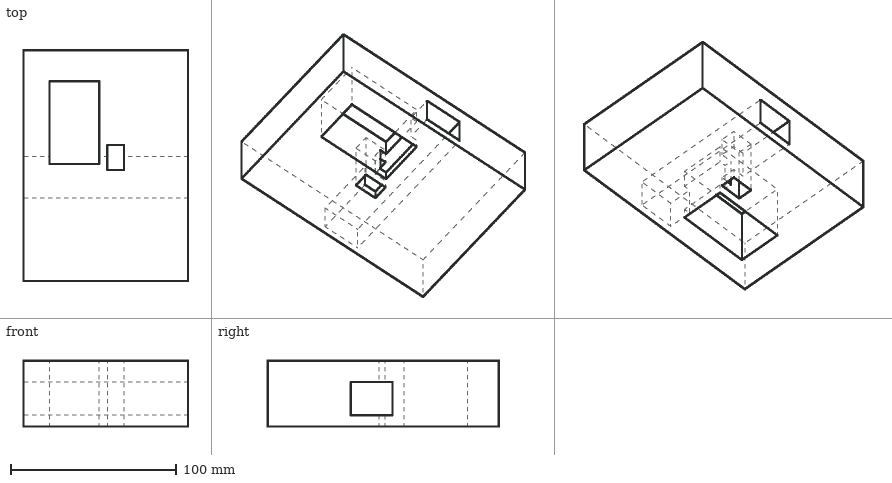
import cadquery as cq

width = 100.0
length = 140
height = 40.0

large_width = 30.0
large_length = 50.0
large_from_left = 16.0
large_from_back = 19.0

small_width = 10.0
small_length = 15.0
small_from_left = 51.0
small_from_back = 57.5

tunnel_length = 25.0
tunnel_height = 20.0
tunnel_from_back = 64.5
tunnel_from_bottom = 7


def corner_box(x_size, y_size, z_size, corner):
    """Box growing from its lowest X, Y and Z corner."""
    return cq.Workplane("XY").box(x_size, y_size, z_size, centered=False).translate(corner)


def vertical_opening(x_size, y_size, from_left, from_back):
    """Cutter through the full height of the block."""
    return corner_box(x_size, y_size, height, (from_left, length - from_back - y_size, 0))


block = corner_box(width, length, height, (0, 0, 0))
large_opening = vertical_opening(large_width, large_length, large_from_left, large_from_back)
small_opening = vertical_opening(small_width, small_length, small_from_left, small_from_back)

tunnel_front = length - tunnel_from_back - tunnel_length
tunnel = corner_box(width, tunnel_length, tunnel_height, (0, tunnel_front, tunnel_from_bottom))

result = block.cut(large_opening).cut(small_opening).cut(tunnel)